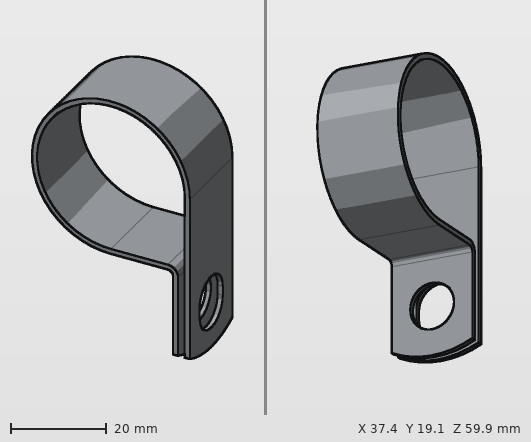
import cadquery as cq
import math

INNER_DIAMETER = 34.925
THICKNESS = 1.2192
WIDTH = 19.05
LEG_GAP = 1.575
BEND_RADIUS = 1.2
LEG_END_DEPTH = 41.25
HOLE_DEPTH = 30.25
HOLE_DIAMETER = 10.32
SLOT_LENGTH = 12.5
UPRIGHT = 90
TIP_RISE = 2.15

inner_radius = INNER_DIAMETER / 2
outer_radius = inner_radius + THICKNESS
outer_bend_radius = BEND_RADIUS + THICKNESS
bent_leg_right = inner_radius - LEG_GAP
bent_leg_left = bent_leg_right - THICKNESS
bend_x = bent_leg_left - BEND_RADIUS
bend_z = -outer_radius - BEND_RADIUS
half_width = WIDTH / 2
slot_start_x = inner_radius - LEG_GAP / 2


def bend_point(radius):
    """Middle of the quarter-circle bend at the given radius."""
    offset = radius * math.sqrt(0.5)
    return (bend_x + offset, bend_z + offset)


def loop_point(radius):
    """Upper-left point of the loop, midway along its three-quarter arc."""
    offset = radius * math.sqrt(0.5)
    return (-offset, offset)


def make_strap():
    """Bent strip: straight leg, three-quarter loop, flat, bend and second leg."""
    profile = (
        cq.Workplane("XZ")
        .moveTo(outer_radius, -LEG_END_DEPTH)
        .lineTo(outer_radius, 0)
        .threePointArc(loop_point(outer_radius), (0, -outer_radius))
        .lineTo(bend_x, -outer_radius)
        .threePointArc(bend_point(BEND_RADIUS), (bent_leg_left, bend_z))
        .lineTo(bent_leg_left, -LEG_END_DEPTH)
        .lineTo(bent_leg_right, -LEG_END_DEPTH)
        .lineTo(bent_leg_right, bend_z)
        .threePointArc(bend_point(outer_bend_radius), (bend_x, -inner_radius))
        .lineTo(0, -inner_radius)
        .threePointArc(loop_point(inner_radius), (inner_radius, 0))
        .lineTo(inner_radius, -LEG_END_DEPTH)
        .close()
    )
    return profile.extrude(half_width, both=True)


def make_side_envelope():
    """Block whose lower end is an arc, used to round the tips of both legs."""
    corner_z = TIP_RISE - LEG_END_DEPTH
    return (
        cq.Workplane("YZ")
        .moveTo(-half_width, outer_radius)
        .lineTo(-half_width, corner_z)
        .threePointArc((0, -LEG_END_DEPTH), (half_width, corner_z))
        .lineTo(half_width, outer_radius)
        .close()
        .extrude(outer_radius, both=True)
    )


def make_bolt_hole():
    """Round cylinder along X that pierces the bent leg."""
    return (
        cq.Workplane("YZ", origin=(0, 0, -HOLE_DEPTH))
        .circle(HOLE_DIAMETER / 2)
        .extrude(slot_start_x)
    )


def make_slot():
    """Round-ended slot, long along Z, that pierces the straight leg."""
    return (
        cq.Workplane("YZ", origin=(slot_start_x, 0, -HOLE_DEPTH))
        .slot2D(SLOT_LENGTH, HOLE_DIAMETER, UPRIGHT)
        .extrude(outer_radius - slot_start_x)
    )


strap = make_strap().intersect(make_side_envelope())
result = strap.cut(make_bolt_hole()).cut(make_slot())